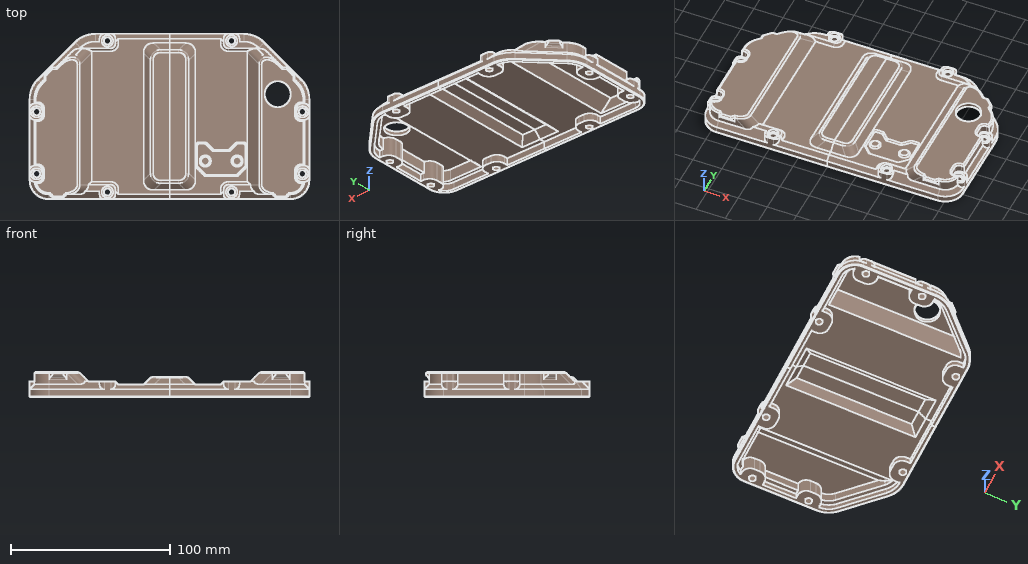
import cadquery as cq
import math


half_length = 88.0
half_width = 52.0
corner_cut = 33.8
cut_blend_radius = 18.0
front_corner_radius = 12.0

plate_height = 8.0
ledge_height = 9.9
ridge_height = 13.0
housing_height = 16.0
bevel_start = 5.0
base_chamfer = 0.5
wall = 3.0

housing_inset = plate_height - bevel_start
housing_foot_x = 49.0
slope_blend_radius = 6.0
top_chamfer = 1.0
trim_allowance = 2.0

tab_reach = 2.0
tab_tip_width = 6.8
tab_tip_bottom = 14.0
tab_round = 1.5
front_tab_x = 70.1
rear_tab_skew = 48.0

screw_diameter = 4.4
counterbore_diameter = 7.2
counterbore_depth = 2.0
screw_edge_distance = 4.5
boss_width = 10.0
boss_corner_radius = 3.0
long_edge_screw_x = 39.0
short_edge_screw_ys = (3.0, -36.0)
long_edge_boss_depth = 9.1
short_edge_boss_depth = 8.2

ridge_foot_half_length = 46.2
ridge_foot_half_width = 16.3
ridge_blend_radius = 9.0

opening_diameter = 16.2
opening_center = (68.0, 14.0)

recess_center_x = 32.5
recess_half_width = 16.0
recess_rear_y = -16.2
recess_notch_y = -20.8
recess_front_y = -37.7
recess_front_cut = 5.9
recess_notch_half_width = 4.9
recess_corner_radius = 2.0
recess_depth = 1.0
stud_diameter = 7.2
stud_spacing = 20.0
stud_y = -28.0

SLOPE = 45.0
diagonal_sum = half_length + half_width - corner_cut


def block(x0, x1, y0, y1, z0, z1):
    return cq.Workplane("XY").box(x1 - x0, y1 - y0, z1 - z0, centered=False).translate((x0, y0, z0))


def right_side(body):
    """Part of a body at x >= 0."""
    reach = 2 * half_length
    return body.intersect(block(0, reach, -reach, reach, -reach, reach))


def inset_prism(inset, z0, z1):
    """Prism with the whole cover's plan moved inward by inset."""
    x_limit = half_length - inset
    y_limit = half_width - inset
    cut_line = diagonal_sum - math.sqrt(2) * inset
    right_edge = [
        (x_limit, -y_limit),
        (x_limit, cut_line - x_limit),
        (cut_line - y_limit, y_limit),
    ]
    left_edge = [(-x, y) for x, y in reversed(right_edge)]
    prism = cq.Workplane("XY").workplane(offset=z0).polyline(right_edge + left_edge).close().extrude(z1 - z0)
    prism = prism.edges("|Z and <Y").fillet(front_corner_radius - inset)
    reach = 2 * half_length
    rear_corners = cq.selectors.BoxSelector((-reach, 0, -reach), (reach, reach, reach))
    return prism.edges("|Z").edges(rear_corners).fillet(cut_blend_radius - inset)


def gabled_prism(inset, z0, z1):
    """Right-hand prism whose corner cut runs on straight, without a flat rear edge."""
    x_limit = half_length - inset
    y_limit = half_width - inset
    cut_line = diagonal_sum - math.sqrt(2) * inset
    prism = (
        cq.Workplane("XY")
        .workplane(offset=z0)
        .polyline([(0, -y_limit), (x_limit, -y_limit), (x_limit, cut_line - x_limit), (0, cut_line)])
        .close()
        .extrude(z1 - z0)
    )
    prism = prism.edges("|Z and >X").edges("<Y").fillet(front_corner_radius - inset)
    cut_corner = cq.NearestToPointSelector((x_limit, cut_line - x_limit, (z0 + z1) / 2))
    return prism.edges("|Z").edges(cut_corner).fillet(cut_blend_radius - inset)


def rim_envelope():
    envelope = inset_prism(0, 0, ledge_height)
    envelope = envelope.faces(">Z").edges().chamfer(ledge_height - bevel_start)
    return right_side(envelope.faces("<Z").edges().chamfer(base_chamfer))


def ledge(side):
    """Ledge along the edge y = side * half_width, with a 45 degree skirt down to the plate."""
    rise = ledge_height - plate_height
    x0 = long_edge_screw_x - boss_width / 2 - rise
    y0 = half_width - long_edge_boss_depth - rise
    foot = cq.Sketch().rect(half_length, half_width).vertices().fillet(boss_corner_radius + rise)
    shape = cq.Workplane("XY").placeSketch(foot).extrude(rise, taper=SLOPE)
    return shape.translate((x0 + half_length / 2, side * (y0 + half_width / 2), plate_height))


def rimmed_plate():
    allowed = block(0, half_length, -half_width, half_width, 0, plate_height)
    for side in (1, -1):
        allowed = allowed.union(ledge(side))
    return rim_envelope().intersect(allowed)


long_edge_places = [
    (long_edge_screw_x, side * (half_width - screw_edge_distance), side * 90, long_edge_boss_depth)
    for side in (1, -1)
]
short_edge_places = [
    (half_length - screw_edge_distance, y, 0, short_edge_boss_depth) for y in short_edge_screw_ys
]
screw_places = long_edge_places + short_edge_places


def boss_prism(place, overhang, z0, z1, growth=0):
    """Rounded block around a screw, reaching overhang beyond the cover's edge and grown inward."""
    x, y, outward_angle, depth = place
    prism = (
        cq.Workplane("XY")
        .box(depth + growth + overhang, boss_width + 2 * growth, z1 - z0, centered=(False, True, False))
        .edges("|Z")
        .fillet(boss_corner_radius + growth)
        .translate((screw_edge_distance - depth - growth, 0, z0))
    )
    return prism.rotate((0, 0, 0), (0, 0, 1), outward_angle).translate((x, y, 0))


def screw_hole(place):
    x, y = place[:2]
    hole = cq.Workplane("XY").circle(screw_diameter / 2).extrude(ledge_height)
    head = cq.Workplane("XY").circle(counterbore_diameter / 2).extrude(counterbore_depth)
    return hole.union(head.translate((0, 0, ledge_height - counterbore_depth))).translate((x, y, 0))


def finger_tab():
    """Tab reaching out along +X from a wall at x = 0, wide at the wall, with a rounded underside."""
    setback = tab_round * math.tan(math.radians(SLOPE / 2))
    diagonal_setback = setback * math.cos(math.radians(SLOPE))
    bulge = tab_round * (1 - math.cos(math.radians(SLOPE / 2)))
    drop = tab_round * math.sin(math.radians(SLOPE / 2))
    tip_round_top = tab_tip_bottom + setback
    root = tab_tip_bottom - tab_reach
    root_round_bottom = root - setback
    embed = 2 * tab_reach
    half_root_width = tab_tip_width / 2 + tab_reach + embed
    profile = (
        cq.Workplane("XZ")
        .moveTo(-embed, housing_height)
        .lineTo(tab_reach, housing_height)
        .lineTo(tab_reach, tip_round_top)
        .threePointArc(
            (tab_reach - bulge, tip_round_top - drop),
            (tab_reach - diagonal_setback, tab_tip_bottom - diagonal_setback),
        )
        .lineTo(diagonal_setback, root + diagonal_setback)
        .threePointArc((bulge, root_round_bottom + drop), (0, root_round_bottom))
        .lineTo(-embed, root_round_bottom)
        .close()
        .extrude(half_root_width, both=True)
    )
    plan = (
        cq.Workplane("XY")
        .polyline([
            (-embed, -half_root_width),
            (tab_reach, -tab_tip_width / 2),
            (tab_reach, tab_tip_width / 2),
            (-embed, half_root_width),
        ])
        .close()
        .extrude(housing_height)
    )
    return profile.intersect(plan)


def sloped_cutter(foot_x, z_foot, z_top):
    """Everything inboard of a 45 degree slope that starts at foot_x and leans outward going up."""
    return (
        cq.Workplane("XZ")
        .polyline([
            (-half_length, z_foot),
            (foot_x, z_foot),
            (foot_x + z_top - z_foot, z_top),
            (-half_length, z_top),
        ])
        .close()
        .extrude(2 * half_length, both=True)
    )


def end_housing():
    block_bottom = plate_height - trim_allowance
    block_top = housing_height + trim_allowance
    housing = gabled_prism(housing_inset, block_bottom, block_top)
    housing = housing.cut(sloped_cutter(housing_foot_x - trim_allowance, block_bottom, block_top))
    slope_middle_x = housing_foot_x + (housing_height - plate_height) / 2
    middle_height = (housing_height + plate_height) / 2
    slope_ends = cq.selectors.BoxSelector(
        (slope_middle_x - 1, -half_width, middle_height - 1),
        (slope_middle_x + 1, half_width, middle_height + 1),
    )
    housing = housing.edges(slope_ends).fillet(slope_blend_radius)
    housing = housing.intersect(inset_prism(housing_inset, plate_height, housing_height))
    for place in short_edge_places:
        housing = housing.cut(boss_prism(place, boss_width, ledge_height, housing_height))

    front_tab = finger_tab().rotate((0, 0, 0), (0, 0, 1), -90)
    housing = housing.union(front_tab.translate((front_tab_x, housing_inset - half_width, 0)))
    cut_wall_sum = diagonal_sum - math.sqrt(2) * housing_inset
    rear_tab = finger_tab().rotate((0, 0, 0), (0, 0, 1), 45)
    rear_tab_x = (cut_wall_sum + rear_tab_skew) / 2
    housing = housing.union(rear_tab.translate((rear_tab_x, cut_wall_sum - rear_tab_x, 0)))
    return housing.faces(">Z").edges().chamfer(top_chamfer)


def ridge_block(foot_half_width, foot_half_length, z0, z1):
    foot = cq.Workplane("XY").workplane(offset=z0).rect(2 * foot_half_width, 2 * foot_half_length)
    return foot.extrude(z1 - z0, taper=SLOPE)


def ridge():
    body = ridge_block(ridge_foot_half_width, ridge_foot_half_length, plate_height, ridge_height)
    body = body.edges("not #Z").fillet(ridge_blend_radius)
    return right_side(body.faces(">Z").edges().chamfer(top_chamfer))


def hollow():
    ceiling = plate_height - wall
    slope_shift = wall * (math.sqrt(2) - 1)
    base_hollow = right_side(inset_prism(wall, 0, ceiling))

    housing_hollow = inset_prism(housing_inset + wall, 0, housing_height - wall)
    inner_foot_x = housing_foot_x + slope_shift
    housing_hollow = housing_hollow.cut(sloped_cutter(inner_foot_x, ceiling, housing_height))
    housing_hollow = housing_hollow.intersect(
        block(inner_foot_x, half_length, -half_width, half_width, 0, housing_height)
    )

    ridge_hollow = ridge_block(
        ridge_foot_half_width - slope_shift,
        ridge_foot_half_length - slope_shift,
        ceiling,
        ridge_height - wall,
    )
    space = base_hollow.union(housing_hollow).union(right_side(ridge_hollow))
    for place in screw_places:
        space = space.cut(boss_prism(place, wall, 0, housing_height, wall))
    return space


def plain_half():
    """The x >= 0 half without the features that only one half carries."""
    half = rimmed_plate().union(end_housing()).union(ridge()).cut(hollow())
    for place in screw_places:
        half = half.union(boss_prism(place, 0, base_chamfer, ledge_height))
    for place in screw_places:
        half = half.cut(screw_hole(place))
    return half


def stud_recess():
    """Recess with 45 degree walls, less the two conical studs left standing in it."""
    notch_drop = recess_rear_y - recess_notch_y
    right_edge = [
        (recess_half_width - recess_front_cut, recess_front_y),
        (recess_half_width, recess_front_y + recess_front_cut),
        (recess_half_width, recess_rear_y),
        (recess_notch_half_width + notch_drop, recess_rear_y),
        (recess_notch_half_width, recess_notch_y),
    ]
    left_edge = [(-x, y) for x, y in reversed(right_edge)]
    corners = [cq.Vector(x, y) for x, y in right_edge + left_edge]
    outline = cq.Sketch().face(cq.Wire.makePolygon(corners, close=True))
    outline = outline.vertices(">Y").fillet(recess_corner_radius)
    recess = cq.Workplane("XY").workplane(offset=plate_height).placeSketch(outline)
    recess = recess.extrude(-recess_depth, taper=SLOPE)
    for side in (1, -1):
        stud = cq.Workplane("XY").circle(stud_diameter / 2).extrude(recess_depth, taper=SLOPE)
        recess = recess.cut(stud.translate((side * stud_spacing / 2, stud_y, plate_height - recess_depth)))
    return recess.translate((recess_center_x, 0, 0))


def round_opening():
    opening = cq.Workplane("XY").circle(opening_diameter / 2).extrude(housing_height)
    return opening.translate((*opening_center, 0))


left_half = plain_half().mirror("YZ")
right_half = plain_half().cut(stud_recess()).cut(round_opening())

result = cq.Compound.makeCompound([left_half.val(), right_half.val()])